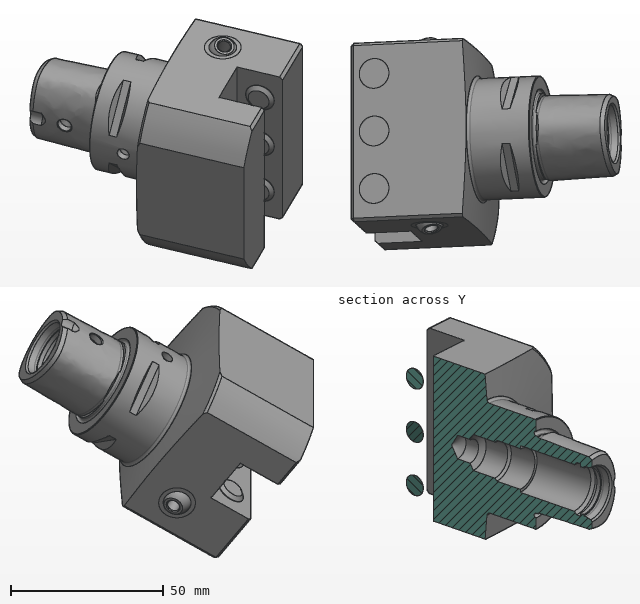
import cadquery as cq
import math


block_back = 60.0
block_side = 21.0
block_bottom = -35.0
block_half_height = 30.0
block_chamfer = 1.0
swing_radius = 40.0
swing_chamfer = 0.8
front_x = 20.9
front_cone_angle = 5.0

slot_floor = 44.0
slot_top = 1.2
slot_width = 17.0
screw_x = 52.0
screw_radius = 5.0
screw_chamfer = 1.35
screw_tip_y = 0.0
screw_pitch = 19.3
screw_count = 3

flange_radius = 20.0
flange_edge_chamfer = 0.25
root_fillet = 0.9

drill_point_slope = 1 / math.tan(math.radians(59))

groove_x = 8.0
groove_floor_distance = 17.6
groove_floor_width = 2.6
groove_outer_width = 5.3

chip_hole_x = 11.9
chip_hole_radius = 2.1
chip_hole_depth = 2.5

shank_length = 24.0
lobe_mean_radius = 14.0
lobe_eccentricity = 1.0
taper = 0.025
taper_end_x = -1.7
tip_chamfer_length = 1.4
tip_chamfer_depth = 0.75
neck_radius = 14.1
neck_x = -0.75
lobe_trim_x = -1.1
relief_radius = 15.7
outline_points = 72

side_hole_x = -11.4
side_hole_radius = 2.35
side_hole_mouth_radius = 2.7
side_hole_depth = 2.5
tip_notch_radius = 3.0
tip_notch_y = -13.95
tip_notch_end = -19.8

mouth_radius = 10.0
mouth_chamfer_radius = 9.4
seat_radius = 8.9
bore_radius = 8.4
thread_groove_radius = 9.4
counter_radius = 7.3
drill_radius = 6.5
pilot_radius = 4.2
mouth_chamfer_end = -23.35
seat_start = -21.25
seat_end = -20.4
thread_groove_start = -18.9
thread_groove_end = -17.3
thread_groove_exit = -16.3
bore_end = 6.7
counter_end = 16.8
drill_start = 17.6
drill_end = 26.9
pilot_end = 33.6

nozzle_x = 35.95
nozzle_y = 9.15
ring_radius = 6.05
ring_depth = 8.0
ball_radius = 5.0
ball_sink = 2.0
ball_flat_distance = 3.8
nozzle_tilt = 20.0
nozzle_azimuth = -45.0
jet_radius = 2.1
jet_mouth_radius = 2.4


def turned(points):
    """Solid of revolution about X from (x, radius) points."""
    return cq.Workplane("XY").polyline(points).close().revolve(360, (0, 0, 0), (1, 0, 0))


def drilled(radius, depth):
    """Drill body from the XY plane to -Z, ending in a drill point."""
    profile = [(0, 0), (radius, 0), (radius, -depth), (0, -depth - radius * drill_point_slope)]
    return cq.Workplane("XZ").polyline(profile).close().revolve(360, (0, 0, 0), (0, 1, 0))


def lobed_outline(mean_radius):
    """Closed curve of support height mean + e cos 3t, with one lobe on the first axis."""
    points = []
    for i in range(outline_points):
        t = 2 * math.pi * i / outline_points
        height = mean_radius + lobe_eccentricity * math.cos(3 * t)
        slope = -3 * lobe_eccentricity * math.sin(3 * t)
        y = height * math.cos(t) - slope * math.sin(t)
        z = height * math.sin(t) + slope * math.cos(t)
        points.append(cq.Vector(y, z, 0))
    return cq.Wire.assembleEdges([cq.Edge.makeSpline(points, periodic=True)])


def lobed_section(x, mean_radius):
    """Lobed outline turned into the YZ plane, with one lobe on +Y, and moved to x."""
    return lobed_outline(mean_radius).rotate(
        cq.Vector(0, 0, 0), cq.Vector(1, 1, 1), 120
    ).translate(cq.Vector(x, 0, 0))


def lobed_loft(x_start, radius_start, x_end, radius_end):
    sections = [lobed_section(x_start, radius_start), lobed_section(x_end, radius_end)]
    return cq.Workplane(cq.Solid.makeLoft(sections, True))


def make_block():
    block = (
        cq.Workplane("XY")
        .box(block_back, block_side - block_bottom, 2 * block_half_height, centered=False)
        .translate((0, block_bottom, -block_half_height))
        .edges("(>X and |Y) or (>X and >Y) or (|X and >Y)")
        .chamfer(block_chamfer)
    )
    slope = math.tan(math.radians(front_cone_angle))
    chamfer_radius = swing_radius - swing_chamfer
    chamfer_x = front_x + slope * (chamfer_radius - flange_radius)
    envelope = turned([
        (front_x, 0),
        (front_x, flange_radius),
        (chamfer_x, chamfer_radius),
        (chamfer_x + swing_chamfer, swing_radius),
        (block_back, swing_radius),
        (block_back, 0),
    ])
    slot = cq.Workplane("XY").box(
        block_back - slot_floor, slot_width, 2 * block_half_height, centered=(False, False, True)
    ).translate((slot_floor, slot_top - slot_width, 0))
    return block.intersect(envelope).cut(slot)


def make_flange():
    return (
        cq.Workplane("XY")
        .moveTo(0, 0)
        .lineTo(0, flange_radius - flange_edge_chamfer)
        .lineTo(flange_edge_chamfer, flange_radius)
        .lineTo(front_x - root_fillet, flange_radius)
        .radiusArc((front_x, flange_radius + root_fillet), -root_fillet)
        .lineTo(front_x + root_fillet, flange_radius + root_fillet)
        .lineTo(front_x + root_fillet, 0)
        .close()
        .revolve(360, (0, 0, 0), (1, 0, 0))
    )


def face_relief():
    """Round-bottomed groove in the flange face around the neck."""
    half_width = (relief_radius - neck_radius) / 2
    return (
        cq.Workplane("XY")
        .moveTo(0, neck_radius)
        .threePointArc((half_width, neck_radius + half_width), (0, relief_radius))
        .close()
        .revolve(360, (0, 0, 0), (1, 0, 0))
    )


def make_shank():
    tip_x = -shank_length
    cone_x = tip_x + tip_chamfer_length
    cone_radius = lobe_mean_radius - taper * (taper_end_x - cone_x)
    shank = (
        lobed_loft(tip_x, cone_radius - tip_chamfer_depth, cone_x, cone_radius)
        .union(lobed_loft(cone_x, cone_radius, taper_end_x, lobe_mean_radius))
        .union(lobed_loft(taper_end_x, lobe_mean_radius, 0, lobe_mean_radius))
    )
    lobe_height = 2 * lobe_eccentricity
    lobe_trim = turned([
        (0, neck_radius),
        (lobe_trim_x, neck_radius),
        (lobe_trim_x - lobe_height, neck_radius + lobe_height),
        (0, neck_radius + lobe_height),
    ])
    neck = turned([(neck_x, 0), (neck_x, neck_radius), (0, neck_radius), (0, 0)])
    return shank.cut(lobe_trim).union(neck)


def gripper_groove(angle):
    """Straight notch with sloping walls across the flange, facing the given direction."""
    half_floor = groove_floor_width / 2
    half_outer = groove_outer_width / 2
    section = [
        (groove_x - half_floor, groove_floor_distance),
        (groove_x + half_floor, groove_floor_distance),
        (groove_x + half_outer, flange_radius),
        (groove_x - half_outer, flange_radius),
    ]
    notch = cq.Workplane("XY").polyline(section).close().extrude(flange_radius, both=True)
    return notch.rotate((0, 0, 0), (1, 0, 0), angle)


def stepped_bore():
    return turned([
        (-shank_length, 0),
        (-shank_length, mouth_radius),
        (mouth_chamfer_end, mouth_chamfer_radius),
        (seat_start, seat_radius),
        (seat_end, seat_radius),
        (seat_end, bore_radius),
        (thread_groove_start, bore_radius),
        (thread_groove_start, thread_groove_radius),
        (thread_groove_end, thread_groove_radius),
        (thread_groove_exit, bore_radius),
        (bore_end, bore_radius),
        (bore_end, counter_radius),
        (counter_end, counter_radius),
        (drill_start, drill_radius),
        (drill_end, drill_radius),
        (drill_end + drill_point_slope * (drill_radius - pilot_radius), pilot_radius),
        (pilot_end, pilot_radius),
        (pilot_end + drill_point_slope * pilot_radius, 0),
    ])


def side_drill(x, surface_radius, drill):
    """Place a drill body so that it enters radially from -Y."""
    return drill.rotate((0, 0, 0), (1, 0, 0), 90).translate((x, -surface_radius, 0))


def side_hole():
    """Drilled hole in the flat -Y side of the shank, with a countersunk mouth."""
    surface_radius = lobe_mean_radius - lobe_eccentricity + taper * (side_hole_x - taper_end_x)
    countersink = cq.Workplane("XY").circle(side_hole_mouth_radius).extrude(
        side_hole_radius - side_hole_mouth_radius, taper=45
    )
    approach = cq.Workplane("XY").circle(side_hole_mouth_radius).extrude(lobe_eccentricity)
    drill = drilled(side_hole_radius, side_hole_depth).union(countersink).union(approach)
    return side_drill(side_hole_x, surface_radius, drill)


def chip_hole():
    return side_drill(chip_hole_x, flange_radius, drilled(chip_hole_radius, chip_hole_depth))


def tip_notch():
    """Pointed hole along X that breaks out of the -Y side of the shank tip."""
    return turned([
        (-shank_length, 0),
        (-shank_length, tip_notch_radius),
        (tip_notch_end, tip_notch_radius),
        (tip_notch_end + tip_notch_radius, 0),
    ]).translate((0, tip_notch_y, 0))


def screw_heights():
    middle = (screw_count - 1) / 2
    return [screw_pitch * (i - middle) for i in range(screw_count)]


def make_screw(z):
    return (
        cq.Workplane("XZ")
        .circle(screw_radius)
        .extrude(-(block_side - screw_tip_y))
        .faces("<Y")
        .chamfer(screw_chamfer)
        .translate((screw_x, screw_tip_y, z))
    )


def lower_twin(body):
    """Copy of an upper nozzle body on the -Z face, pointing the opposite way."""
    flipped = body.translate((-nozzle_x, -nozzle_y, 0)).mirror("XY").mirror("XZ").mirror("YZ")
    return flipped.translate((nozzle_x, nozzle_y, 0))


def make_ball():
    """Ball with a flat and a countersunk jet bore along its tilted axis."""
    flat = (
        cq.Workplane("XY", origin=(0, 0, ball_flat_distance))
        .circle(ball_radius)
        .extrude(ball_radius)
    )
    ball = cq.Workplane("XY").sphere(ball_radius).cut(flat)
    ball = ball.faces(">Z").workplane().cskHole(2 * jet_radius, 2 * jet_mouth_radius, 90)
    return (
        ball.rotate((0, 0, 0), (0, 1, 0), nozzle_tilt)
        .rotate((0, 0, 0), (0, 0, 1), nozzle_azimuth)
        .translate((nozzle_x, nozzle_y, block_half_height - ball_sink))
    )


def ring_blank():
    return (
        cq.Workplane("XY", origin=(nozzle_x, nozzle_y, block_half_height))
        .circle(ring_radius)
        .extrude(-ring_depth)
    )


def make_ring():
    seat = cq.Workplane("XY").sphere(ball_radius)
    return ring_blank().cut(seat.translate((nozzle_x, nozzle_y, block_half_height - ball_sink)))


def make_housing():
    housing = make_block().union(make_flange()).cut(face_relief()).union(make_shank())
    housing = housing.cut(stepped_bore()).cut(tip_notch())
    housing = housing.cut(side_hole()).cut(chip_hole())
    for angle in (45, 135, 225, 315):
        housing = housing.cut(gripper_groove(angle))
    for z in screw_heights():
        hole = cq.Workplane("XZ").circle(screw_radius).extrude(-block_side).translate((screw_x, 0, z))
        housing = housing.cut(hole)
    return housing.cut(ring_blank()).cut(lower_twin(ring_blank()))


housing = make_housing()
screws = [make_screw(z) for z in screw_heights()]
balls = [make_ball(), lower_twin(make_ball())]
rings = [make_ring(), lower_twin(make_ring())]

result = cq.Compound.makeCompound([body.val() for body in [housing, *screws, *balls, *rings]])